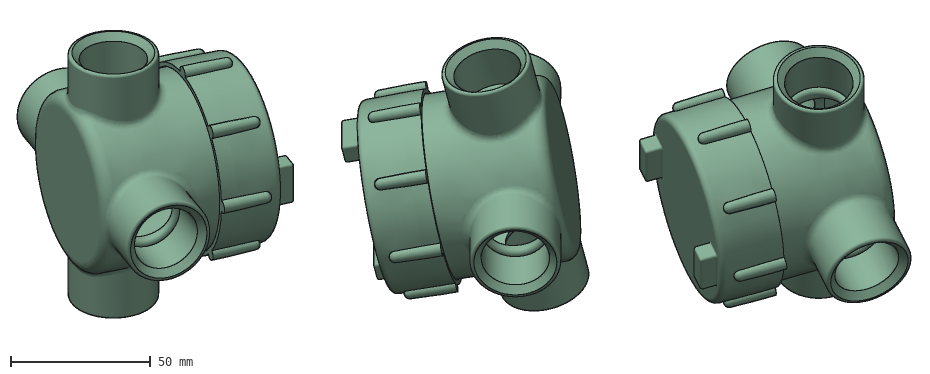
import cadquery as cq
import math

front_y = -17.7
parting_radius = 33.9
rim_radius = 33.6
front_fillet = 4.9
cavity_radius = 30.0
front_wall = 4.1

port_count = 4
port_reach = 50.8
port_radius = 32.5 / 2
port_end_fillet = 1.0
port_root_fillet = 2.9
port_bore_radius = 24.5 / 2
countersink_radius = 14.8
throat_radius = 20.1 / 2
throat_round = 3.6 / 2
shoulder_distance = 32.0

lip_y = 26.9
cover_parting_y = 33.2
cover_top_y = 50.8
cover_lip_radius = 35.6
cover_top_radius = 35.3
cover_top_fillet = 2.3
cover_top_wall = 4.1
cover_clearance = 0.3
recess_radius = rim_radius + cover_clearance
recess_floor_y = cover_top_y - cover_top_wall

rib_count = 8
rib_axis_radius = 36.0
rib_base_radius = 2.4
rib_tip_radius = 2.1
rib_tip_y = 46.1

lug_offset = 27.4
lug_width = 7.3
lug_length = 16.3
lug_top_y = 57.1
lug_edge_fillet = 0.9
lug_root_fillet = 0.7
foot_band = 0.1


def revolve_about_y(profile):
    """Turn a closed profile drawn in the XY plane a full turn about the Y axis."""
    return profile.close().revolve(360, (0, 0, 0), (0, 1, 0))


def around_y(shape, count):
    """Yield copies of a shape spaced evenly about the Y axis."""
    for index in range(count):
        yield shape.rotate((0, 0, 0), (0, 1, 0), index * 360 / count)


def housing_shell():
    """Solid round wall, drafted both ways from the parting plane, with a neck inside the cover."""
    wall = revolve_about_y(
        cq.Workplane("XY")
        .moveTo(0, front_y)
        .lineTo(rim_radius, front_y)
        .lineTo(parting_radius, 0)
        .lineTo(rim_radius, lip_y)
        .lineTo(rim_radius, recess_floor_y)
        .lineTo(0, recess_floor_y)
    )
    return wall.faces("<Y").edges().fillet(front_fillet)


def port_tube():
    """Solid port along +X, starting at the Y axis."""
    tube = cq.Workplane("YZ").circle(port_radius).extrude(port_reach)
    return tube.faces(">X").edges().fillet(port_end_fillet)


def port_bore():
    """Cutter along +X: countersink, bore, shoulder and rounded throat."""
    countersink_depth = countersink_radius - port_bore_radius
    lip_radius = throat_radius + throat_round
    lip_mid = throat_round * (1 - math.sqrt(0.5))
    return (
        cq.Workplane("XY")
        .lineTo(port_reach, 0)
        .lineTo(port_reach, countersink_radius)
        .lineTo(port_reach - countersink_depth, port_bore_radius)
        .lineTo(shoulder_distance, port_bore_radius)
        .lineTo(shoulder_distance, lip_radius)
        .threePointArc(
            (shoulder_distance - lip_mid, throat_radius + lip_mid),
            (shoulder_distance - throat_round, throat_radius),
        )
        .lineTo(0, throat_radius)
        .close()
        .revolve(360, (0, 0, 0), (1, 0, 0))
    )


def make_housing():
    """Hollow round box with four ports, open on the cover side."""
    housing = housing_shell()
    for tube in around_y(port_tube(), port_count):
        housing = housing.union(tube)

    housing = housing.edges("%BSPLINE").fillet(port_root_fillet)

    cavity_floor_y = front_y + front_wall
    cavity = (
        cq.Workplane("XZ", origin=(0, cavity_floor_y, 0))
        .circle(cavity_radius)
        .extrude(cavity_floor_y - recess_floor_y)
    )
    housing = housing.cut(cavity)
    for bore in around_y(port_bore(), port_count):
        housing = housing.cut(bore)
    return housing


def cover_cap():
    """Solid cap with a straight lip, a drafted side and a rounded top edge."""
    cap = revolve_about_y(
        cq.Workplane("XY")
        .moveTo(0, lip_y)
        .lineTo(cover_lip_radius, lip_y)
        .lineTo(cover_lip_radius, cover_parting_y)
        .lineTo(cover_top_radius, cover_top_y)
        .lineTo(0, cover_top_y)
    )
    return cap.faces(">Y").edges().fillet(cover_top_fillet)


def grip_rib():
    """Round rib on the +X side of the cover: cylindrical, then drafted, with a domed end."""
    dome_y = rib_tip_y - rib_tip_radius
    dome_mid = rib_tip_radius * math.sqrt(0.5)
    rib = revolve_about_y(
        cq.Workplane("XY")
        .moveTo(0, lip_y)
        .lineTo(rib_base_radius, lip_y)
        .lineTo(rib_base_radius, cover_parting_y)
        .lineTo(rib_tip_radius, dome_y)
        .threePointArc((dome_mid, dome_y + dome_mid), (0, rib_tip_y))
    )
    return rib.translate((rib_axis_radius, 0, 0))


def add_lug(cover, x):
    """Join one wrench lug, with rounded edges and a filleted foot, to the cover top."""
    embed = cover_top_wall / 2
    height = lug_top_y - cover_top_y + embed
    lug = (
        cq.Workplane("XY")
        .box(lug_width, height, lug_length)
        .edges("|Y or >Y")
        .fillet(lug_edge_fillet)
        .translate((x, lug_top_y - height / 2, 0))
    )
    foot = cq.selectors.BoxSelector(
        (x - lug_width, cover_top_y - foot_band, -lug_length),
        (x + lug_width, cover_top_y + foot_band, lug_length),
    )
    cover = cover.union(lug)
    return cover.edges(foot).fillet(lug_root_fillet)


def make_cover():
    """Cap with lugs and ribs, recessed so that its floor rests on the end of the housing neck."""
    cover = cover_cap()
    for x in (-lug_offset, lug_offset):
        cover = add_lug(cover, x)
    for rib in around_y(grip_rib(), rib_count):
        cover = cover.union(rib)
    recess = (
        cq.Workplane("XZ", origin=(0, lip_y, 0))
        .circle(recess_radius)
        .extrude(lip_y - recess_floor_y)
    )
    return cover.cut(recess)


housing = make_housing()
cover = make_cover()

result = cq.Compound.makeCompound([housing.solids().val(), cover.solids().val()])